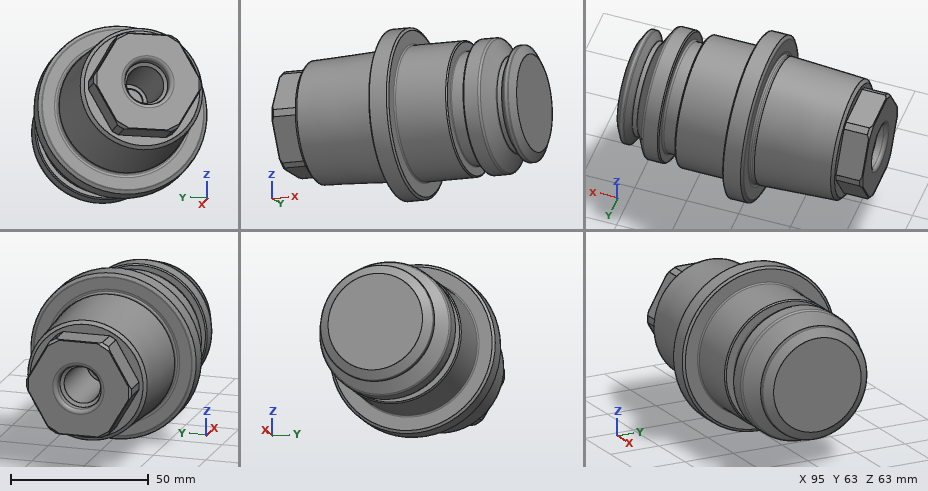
import cadquery as cq
import math

total_length = 95.0

hex_length = 10.0
hex_across_flats = 36.0
hex_across_corners = 40.0
hex_flat_chamfer = 0.3
hex_corner_chamfer = 1.0

taper_face_diameter = 43.0
taper_start_x = 11.1
taper_gauge_x = 21.0
taper_gauge_diameter = 46.53
taper_end_x = 40.0
taper_slope = 0.05

undercut_depth = 0.2
undercut_ramp_angle = math.radians(15)
undercut_fillet = 0.6
undercut_face_depth = 0.1
undercut_rim_diameter = 51.0

flange_front_x = 42.0
flange_back_x = 50.0
flange_diameter = 63.0
flange_front_diameter = 60.0
flange_front_fillet = 0.5
flange_back_diameter = 61.0
flange_bevel_angle = math.radians(30)
flange_root_fillet = 0.5

barrel_diameter = 50.0
barrel_end_x = 70.5
barrel_chamfer = 0.5
groove_diameter = 42.0
groove_end_x = 76.6
groove_front_fillet = 0.3
groove_back_fillet = 0.7
collar_end_x = 83.1
collar_fillet = 1.0

flank_angle = math.radians(60)
neck_diameter = 36.0
neck_end_x = 89.3
rim_diameter = 43.0
neck_fillet = 0.3
rim_front_fillet = 0.5
rim_back_fillet = 0.3

lip_radius = 1.5
counterbore_diameter = 16.5
counterbore_depth = 4.0
bore_diameter = 13.84
bore_depth = 32.0
bore_cone_half_angle = math.radians(60)

pin_diameter = 10.0
pin_chamfer = 0.4
pin_protrusion = 2.0
pin_seat_depth = 20.0

taper_face_radius = taper_face_diameter / 2
taper_gauge_radius = taper_gauge_diameter / 2
taper_start_radius = taper_gauge_radius - taper_slope * (taper_gauge_x - taper_start_x)
taper_end_radius = taper_gauge_radius + taper_slope * (taper_end_x - taper_gauge_x)
flange_radius = flange_diameter / 2
barrel_radius = barrel_diameter / 2
groove_radius = groove_diameter / 2
neck_radius = neck_diameter / 2
rim_radius = rim_diameter / 2
counterbore_radius = counterbore_diameter / 2
bore_radius = bore_diameter / 2

neck_start_x = collar_end_x + (barrel_radius - neck_radius) / math.tan(flank_angle)
rim_flank_length = (rim_radius - neck_radius) / math.tan(flank_angle)
rim_start_x = neck_end_x + rim_flank_length
rim_end_x = total_length - rim_flank_length
pin_start_x = bore_depth - pin_protrusion
pin_end_x = bore_depth + pin_seat_depth


def turned(profile):
    """Revolve a closed (X, radius) profile about the X axis."""
    return profile.close().revolve(360, (0, 0, 0), (1, 0, 0))


def hexagon_prism(across_flats, corner_turn, front_chamfer):
    """Hexagonal prism along X, its front edges chamfered."""
    across_points = across_flats / math.cos(math.pi / 6)
    prism = (
        cq.Workplane("YZ")
        .transformed(rotate=(0, 0, corner_turn))
        .polygon(6, across_points)
        .extrude(hex_length)
    )
    return prism.faces("<X").chamfer(front_chamfer)


def make_hexagon():
    """Corners point along Y; a second hexagon turned by 30 degrees cuts them off."""
    flats = hexagon_prism(hex_across_flats, 0, hex_flat_chamfer)
    corners = hexagon_prism(hex_across_corners, 30, hex_corner_chamfer)
    return flats.intersect(corners)


def fillet_ring(body, ring_x, radius):
    """Round the circular edge centred on the axis at ring_x."""
    reach = 0.01
    low_corner = (ring_x - reach, -reach, -reach)
    high_corner = (ring_x + reach, reach, reach)
    at_ring = cq.selectors.BoxSelector(low_corner, high_corner)
    return body.edges(at_ring).fillet(radius)


def make_turned_body():
    """Taper, flange, barrel, collar and rim as one solid of revolution."""
    undercut_radius = taper_end_radius - undercut_depth
    undercut_floor_x = taper_end_x + undercut_depth / math.tan(undercut_ramp_angle)
    undercut_face_x = flange_front_x + undercut_face_depth

    front_fillet_length = flange_front_fillet * math.sin(flange_bevel_angle)
    front_fillet_sag = flange_front_fillet * (1 - math.cos(flange_bevel_angle))
    front_bevel_start_x = flange_front_x + front_fillet_sag
    front_bevel_start_radius = flange_front_diameter / 2 + front_fillet_length
    front_bevel_height = flange_radius - front_bevel_start_radius
    back_bevel_height = flange_radius - flange_back_diameter / 2
    front_bevel_end_x = front_bevel_start_x + front_bevel_height * math.tan(flange_bevel_angle)
    back_bevel_start_x = flange_back_x - back_bevel_height * math.tan(flange_bevel_angle)

    profile = (
        cq.Workplane("XY")
        .moveTo(hex_length, 0)
        .lineTo(hex_length, taper_face_radius)
        .lineTo(taper_start_x, taper_start_radius)
        .lineTo(taper_end_x, taper_end_radius)
        .lineTo(undercut_floor_x, undercut_radius)
        .lineTo(undercut_face_x - undercut_fillet, undercut_radius)
        .radiusArc((undercut_face_x, undercut_radius + undercut_fillet), -undercut_fillet)
        .lineTo(flange_front_x, undercut_rim_diameter / 2)
        .lineTo(flange_front_x, flange_front_diameter / 2)
        .radiusArc((front_bevel_start_x, front_bevel_start_radius), flange_front_fillet)
        .lineTo(front_bevel_end_x, flange_radius)
        .lineTo(back_bevel_start_x, flange_radius)
        .lineTo(flange_back_x, flange_back_diameter / 2)
        .lineTo(flange_back_x, barrel_radius + flange_root_fillet)
        .radiusArc((flange_back_x + flange_root_fillet, barrel_radius), -flange_root_fillet)
        .lineTo(barrel_end_x - barrel_chamfer, barrel_radius)
        .lineTo(barrel_end_x, barrel_radius - barrel_chamfer)
        .lineTo(barrel_end_x, groove_radius + groove_front_fillet)
        .radiusArc((barrel_end_x + groove_front_fillet, groove_radius), -groove_front_fillet)
        .lineTo(groove_end_x - groove_back_fillet, groove_radius)
        .radiusArc((groove_end_x, groove_radius + groove_back_fillet), -groove_back_fillet)
        .lineTo(groove_end_x, barrel_radius - barrel_chamfer)
        .lineTo(groove_end_x + barrel_chamfer, barrel_radius)
        .lineTo(collar_end_x, barrel_radius)
        .lineTo(neck_start_x, neck_radius)
        .lineTo(neck_end_x, neck_radius)
        .lineTo(rim_start_x, rim_radius)
        .lineTo(rim_end_x, rim_radius)
        .lineTo(total_length, neck_radius)
        .lineTo(total_length, 0)
    )
    body = fillet_ring(turned(profile), collar_end_x, collar_fillet)
    body = fillet_ring(body, neck_start_x, neck_fillet)
    body = fillet_ring(body, neck_end_x, neck_fillet)
    body = fillet_ring(body, rim_start_x, rim_front_fillet)
    return fillet_ring(body, rim_end_x, rim_back_fillet)


def make_bore():
    """Rounded lip, counterbore, cone and flat-bottomed bore, as the solid to remove."""
    cone_length = (counterbore_radius - bore_radius) / math.tan(bore_cone_half_angle)
    profile = (
        cq.Workplane("XY")
        .lineTo(0, counterbore_radius + lip_radius)
        .radiusArc((lip_radius, counterbore_radius), -lip_radius)
        .lineTo(counterbore_depth, counterbore_radius)
        .lineTo(counterbore_depth + cone_length, bore_radius)
        .lineTo(bore_depth, bore_radius)
        .lineTo(bore_depth, 0)
    )
    return turned(profile)


def make_pin():
    """Round pin with a chamfered front end."""
    pin = cq.Workplane("YZ", origin=(pin_start_x, 0, 0)).circle(pin_diameter / 2)
    return pin.extrude(pin_end_x - pin_start_x).faces("<X").chamfer(pin_chamfer)


pin = make_pin()
housing = make_turned_body().union(make_hexagon()).cut(make_bore()).cut(pin)

result = cq.Compound.makeCompound([housing.val(), pin.val()])